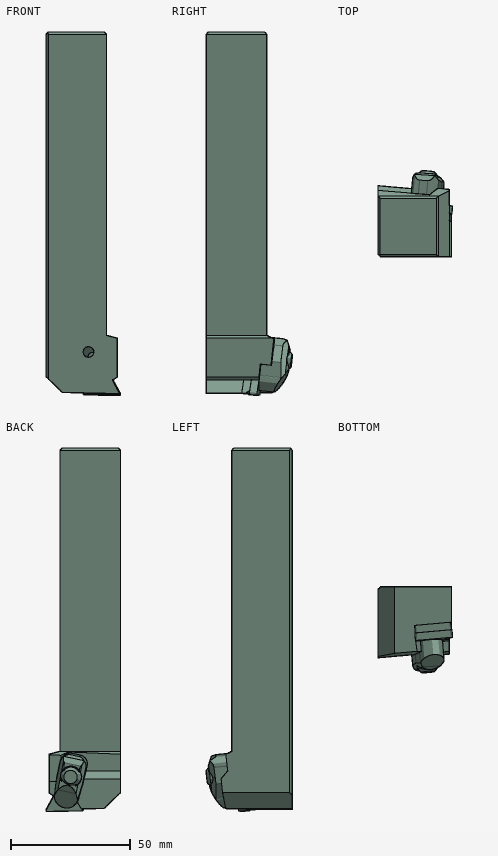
import cadquery as cq
import math


shank_width = 25.4
tool_length = 151.89
edge_bevel = 1.2
end_chamfer = 1.0

tip_x = 31.25
tip_y = 21.1
rake_angle = 6.0
inclination_angle = 5.0
lead_angle = 1.0

head_right = 29.9
shoulder_top = 25.2
shoulder_slope = 0.26
back_shoulder_slope = 0.52
end_corner = (6.9, 1.25)
bevel_top = 8.0
nose_lip = (30.8, 0.9)
notch_inner = (28.0, 6.5)
notch_top = 7.7

deck_height = 4.45
groove_floor = 1.4
reach = 40.0

groove_ramp_start = 14.2
groove_wall_x = -10.0
groove_depth = deck_height - groove_floor

insert_side = 16.5
insert_nose_radius = 0.6
insert_thickness = 3.18
shim_thickness = 3.18
shim_bottom = -insert_thickness - shim_thickness
shim_inset = 0.2
corner_angle = 60.0

screw_x = -11.55
screw_z = 15.8
screw_diameter = 4.4
screw_end = -2.0
head_diameter = 8.8
head_seat = deck_height + 4.0
head_top = deck_height + 7.54
head_chamfer = 1.6
clamp_x = -11.2
clamp_turn = 12.0
clamp_rear = 24.4
clamp_front = 1.9
clamp_width = 11.1
clamp_nose_width = 10.0
clamp_nose_start = 7.2
clamp_shoulder = 13.5
clamp_corner = 3.8
clamp_crest = deck_height + 7.0
clamp_roof_edge = deck_height + 6.0
clamp_roof_width = 7.8
clamp_side_top = deck_height + 3.7
clamp_rear_top = deck_height + 2.8
clamp_rear_slope = [(deck_height + 5.2, 23.4), (deck_height + 6.2, 21.0)]
clamp_crest_end = 12.0
clamp_front_shoulder = (deck_height + 6.0, 9.2)
clamp_front_top = deck_height + 1.9


def tilt(body):
    """Moves a body from the flat seat frame (origin at the tip, Y square to the face) into place."""
    origin = (0, 0, 0)
    body = body.rotate(origin, (1, 0, 0), -rake_angle)
    body = body.rotate(origin, (0, 0, 1), -inclination_angle)
    return body.translate((tip_x, tip_y, 0))


def extrude_y(sketch_points, bottom, top):
    """Prism on an XZ outline between two Y levels."""
    flat = cq.Workplane("XZ", origin=(0, bottom, 0)).polyline(sketch_points).close()
    return flat.extrude(bottom - top)


def extrude_x(sketch_points, left, right):
    """Prism on a YZ outline between two X positions."""
    return cq.Workplane("YZ", origin=(left, 0, 0)).polyline(sketch_points).close().extrude(right - left)


def nose_centres():
    """Centres of the insert's three rounded corners, the cutting corner first."""
    first = (-insert_nose_radius, insert_nose_radius)
    span = insert_side - 2 * insert_nose_radius / math.tan(math.radians(corner_angle / 2))
    centres = [first]
    for angle in (180 - lead_angle, 180 - lead_angle - corner_angle):
        turn = math.radians(angle)
        centres.append((first[0] + span * math.cos(turn), first[1] + span * math.sin(turn)))
    return centres


def triangle(edge_offset, bottom, top):
    """Rounded triangle around the nose centres, offset outward."""
    flat = cq.Workplane("XZ", origin=(0, bottom, 0)).polyline(nose_centres()).close()
    return flat.offset2D(edge_offset).extrude(bottom - top)


def screw_cylinder(diameter, bottom, top):
    """Cylinder on the screw axis between two heights."""
    flat = cq.Workplane("XZ", origin=(screw_x, bottom, screw_z))
    return flat.circle(diameter / 2).extrude(bottom - top)


def make_insert():
    return tilt(triangle(insert_nose_radius, -insert_thickness, 0))


def make_shim():
    """Plate under the insert, slightly smaller all round."""
    return tilt(triangle(insert_nose_radius - shim_inset, shim_bottom, -insert_thickness))


def make_shank():
    box = cq.Workplane("XY").box(shank_width, shank_width, tool_length - bevel_top, centered=False)
    box = box.translate((0, 0, bevel_top))
    return box.faces(">Z").chamfer(end_chamfer)


def make_head():
    """Front outline carried back past the shank, then cut down to the sloping shoulder and deck."""
    outline = [
        (0, bevel_top),
        end_corner,
        nose_lip,
        notch_inner,
        (head_right, notch_top),
        (head_right, shoulder_top - shoulder_slope * (head_right - shank_width)),
        (shank_width, shoulder_top),
        (0, shoulder_top),
    ]
    head = extrude_y(outline, 0, reach)
    over_shoulder = [
        (shank_width, shoulder_top),
        (reach, shoulder_top),
        (reach, shoulder_top - back_shoulder_slope * (reach - shank_width)),
    ]
    head = head.cut(extrude_x(over_shoulder, 0, reach))
    above_deck = cq.Workplane("XY").box(3 * reach, reach, 3 * reach, centered=(True, False, True))
    return head.cut(tilt(above_deck.translate((0, deck_height, 0))))


def make_groove():
    """Recess for the clamp heel: ramp at its lower end, sloping wall at its +X end."""
    ramp = [
        (deck_height, groove_ramp_start),
        (groove_floor, groove_ramp_start + groove_depth),
        (groove_floor, reach),
        (deck_height, reach),
    ]
    plan = [
        (-reach, groove_floor),
        (groove_wall_x, groove_floor),
        (groove_wall_x + groove_depth, deck_height),
        (-reach, deck_height),
    ]
    length = cq.Workplane("XY").polyline(plan).close().extrude(reach)
    return tilt(extrude_x(ramp, -reach, reach).intersect(length))


def make_pocket():
    """Seat for shim and insert, open above the insert for chips on the +X side."""
    inner, upper = nose_centres()[1:]
    outline = [inner, upper, (reach, upper[1]), (reach, -reach), (inner[0], -reach)]
    chip_space = extrude_y(outline, 0, reach)
    shim_seat = triangle(insert_nose_radius - shim_inset, shim_bottom, 0)
    insert_seat = triangle(insert_nose_radius, -insert_thickness, reach)
    return tilt(shim_seat.union(insert_seat).union(chip_space))


def make_holder():
    shank = make_shank()
    holder = shank.union(make_head())
    bevel = [(0, 0), (edge_bevel, 0), (0, edge_bevel)]
    holder = holder.cut(cq.Workplane("XY").polyline(bevel).close().extrude(tool_length))
    holder = holder.cut(make_groove()).cut(make_pocket())
    return holder.cut(tilt(screw_cylinder(screw_diameter, -reach, reach)))


def make_screw():
    head = screw_cylinder(head_diameter, head_seat, head_top).faces(">Y").chamfer(head_chamfer)
    return tilt(head.union(screw_cylinder(screw_diameter, screw_end, head_seat)))


def make_clamp(holder, screw):
    """Arched side outline across the clamp, fitted down onto deck, groove and insert."""
    half_width = clamp_width / 2
    half_nose = clamp_nose_width / 2
    outline = [
        (0, clamp_rear),
        (clamp_rear_top, clamp_rear),
        *clamp_rear_slope,
        (clamp_crest, clamp_crest_end),
        clamp_front_shoulder,
        (clamp_front_top, clamp_front),
        (0, clamp_front),
    ]
    side = extrude_x(outline, clamp_x - half_width, clamp_x + half_width)
    plan = (
        cq.Workplane("XZ")
        .moveTo(clamp_x - half_nose, clamp_nose_start)
        .lineTo(clamp_x - half_width, clamp_shoulder)
        .lineTo(clamp_x - half_width, clamp_rear - clamp_corner)
        .tangentArcPoint((clamp_corner, clamp_corner))
        .lineTo(clamp_x + half_width - clamp_corner, clamp_rear)
        .tangentArcPoint((clamp_corner, -clamp_corner))
        .lineTo(clamp_x + half_width, clamp_shoulder)
        .lineTo(clamp_x + half_nose, clamp_nose_start)
        .threePointArc((clamp_x, clamp_front), (clamp_x - half_nose, clamp_nose_start))
        .close()
        .extrude(-reach)
    )
    section = (
        cq.Workplane("XY")
        .moveTo(clamp_x - half_width, 0)
        .lineTo(clamp_x - half_width, clamp_side_top)
        .lineTo(clamp_x - clamp_roof_width / 2, clamp_roof_edge)
        .threePointArc((clamp_x, clamp_crest), (clamp_x + clamp_roof_width / 2, clamp_roof_edge))
        .lineTo(clamp_x + half_width, clamp_side_top)
        .lineTo(clamp_x + half_width, 0)
        .close()
        .extrude(reach)
    )
    blank = side.intersect(plan).intersect(section)
    pivot = (screw_x, 0, screw_z)
    blank = blank.rotate(pivot, (screw_x, 1, screw_z), -clamp_turn)
    return tilt(blank).cut(holder).cut(screw)


holder = make_holder()
insert = make_insert()
shim = make_shim()
screw = make_screw()
clamp = make_clamp(holder, screw)

bodies = [holder, insert, shim, clamp, screw]
result = cq.Compound.makeCompound([body.solids().val() for body in bodies])